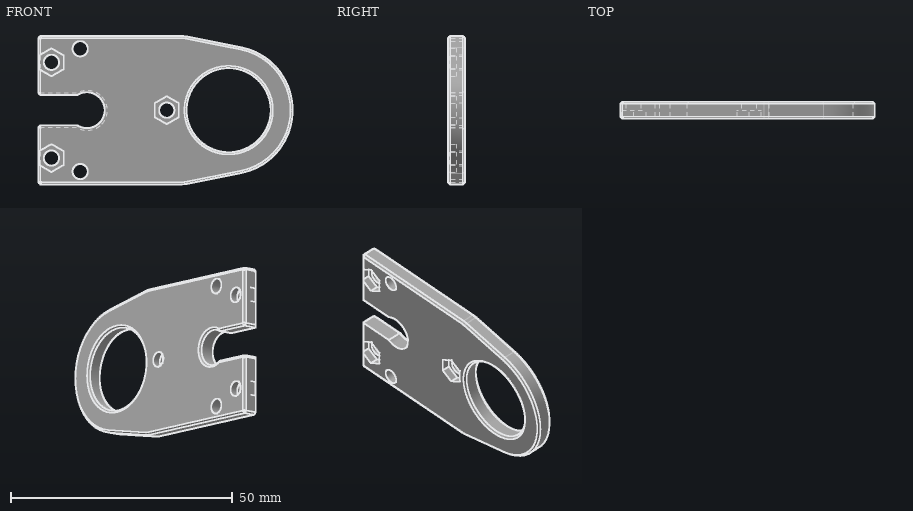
import cadquery as cq
import math

length = 57.5
thickness = 3.9
height = 33.6
edge_chamfer = 0.5
half_height = height / 2

end_radius = 14.5
bore_diameter = 19.0
bore_x = length - end_radius
taper_start_x = 32.95
corner_search_margin = 0.6

slot_width = 6.8
slot_end_x = 11.0
slot_end_radius = 4.0

screw_diameter = 3.4
nut_flats = 5.45
nut_depth = 1.9
end_nut_x = 3.0
nut_z = 10.8
middle_nut_x = 29.05
plain_hole_x = 9.5
plain_hole_z = 13.85

nut_centres = [(end_nut_x, nut_z), (end_nut_x, -nut_z), (middle_nut_x, 0)]
plain_centres = [(plain_hole_x, plain_hole_z), (plain_hole_x, -plain_hole_z)]


def front_plane():
    """Sketch plane on the front face; extruding by a negative distance goes into the plate."""
    return cq.Workplane("XZ")


def plate_blank():
    """Straight plate whose tapering sides run tangentially into the rounded end."""
    dx = taper_start_x - bore_x
    tangent_angle = math.atan2(half_height, dx) - math.acos(end_radius / math.hypot(dx, half_height))
    tangent_x = bore_x + end_radius * math.cos(tangent_angle)
    tangent_z = end_radius * math.sin(tangent_angle)
    return (
        front_plane()
        .moveTo(0, -half_height)
        .lineTo(taper_start_x, -half_height)
        .lineTo(tangent_x, -tangent_z)
        .threePointArc((length, 0), (tangent_x, tangent_z))
        .lineTo(taper_start_x, half_height)
        .lineTo(0, half_height)
        .close()
        .extrude(-thickness)
    )


def round_cutter(centres, diameter):
    return front_plane().pushPoints(centres).circle(diameter / 2).extrude(-thickness)


def keyhole_cutter():
    slot = front_plane().center(slot_end_x / 2, 0).rect(slot_end_x, slot_width).extrude(-thickness)
    return slot.union(round_cutter([(slot_end_x, 0)], 2 * slot_end_radius))


def nut_cutter():
    """Hexagonal pockets with points up and down."""
    across_corners = nut_flats / math.cos(math.pi / 6)
    cutter = front_plane()
    for x, z in nut_centres:
        hexagon = (
            front_plane()
            .center(x, z)
            .transformed(rotate=(0, 0, 90))
            .polygon(6, across_corners)
            .extrude(-nut_depth)
        )
        cutter = cutter.add(hexagon)
    return cutter.combine()


result = plate_blank().cut(round_cutter([(bore_x, 0)], bore_diameter))
taper_corners = cq.selectors.BoxSelector(
    (taper_start_x - corner_search_margin, 0, -height),
    (taper_start_x + corner_search_margin, thickness, height),
)
result = result.edges("|Y").edges(taper_corners).chamfer(edge_chamfer)
result = result.faces("<X").edges("|Y").chamfer(edge_chamfer)
result = result.faces("<Y").chamfer(edge_chamfer)

result = result.cut(keyhole_cutter())
mouth_edges = cq.selectors.BoxSelector(
    (-corner_search_margin, 0, -slot_width),
    (corner_search_margin, thickness, slot_width),
)
result = result.edges("|Y").edges(mouth_edges).chamfer(edge_chamfer)
result = result.faces(">Y").chamfer(edge_chamfer)

result = result.cut(nut_cutter())
result = result.cut(round_cutter(nut_centres + plain_centres, screw_diameter))